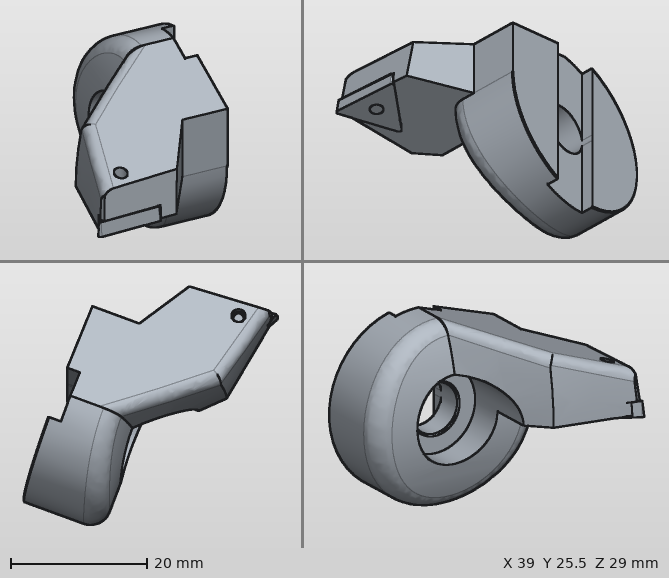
import cadquery as cq
import math

head_radius = 14.5
head_depth = 12.48
head_bulge_radius = 33.15
head_fillet = 3.0
bore_radius = 4.0
bore_chamfer = 0.27
counterbore_radius = 7.02
counterbore_floor = 6.5
slot_width = 7.95
slot_depth = 2.0
back_chamfer = 0.15

top_slope = math.tan(math.radians(18))
shoulder_depth = 7.37
shoulder_angle = 30.0
elbow_x = 10.2
elbow_bulge_radius = 47.58
nose_side_slope = math.tan(math.radians(9.7))
arm_fillet = 1.8
end_x = 22.9
end_swing = math.tan(math.radians(3.5))
end_lean = math.tan(math.radians(7))
corner_chamfer = 0.65
corner_facing = -2.0
corner_lean = 0.27
arm_end_stock = 4.68
arm_top_stock = 0.4
overrun = 31.2

insert_x = 21.1
insert_y = -20.48
insert_bottom = -0.3
insert_thickness = 2.38
insert_inradius = 3.15
insert_nose_radius = 0.4
insert_turn = -27.2
insert_clearance = 7.0

screw_radius = 1.0
screw_end_chamfer = 0.27
screw_top = 5.45

elbow_depth = head_depth + elbow_x
insert_top = insert_bottom + insert_thickness


def bulge_section(x, depth, radius, height):
    """Wire in a plane of constant X: flat back and bottom, bulged front, up to the given height."""
    def front_point(z):
        return (-depth + radius - math.sqrt(radius**2 - z**2), z)

    return (
        cq.Workplane("YZ", origin=(x, 0, 0))
        .lineTo(-depth, 0)
        .threePointArc(front_point(height / 2), front_point(height))
        .lineTo(0, height)
        .close()
        .val()
    )


def half_space(point, normal):
    """Large block whose flat face passes through the point and which lies on the normal's side."""
    face = cq.Workplane(cq.Plane(origin=point, normal=normal)).rect(2 * overrun, 2 * overrun)
    return face.extrude(overrun)


def make_head():
    """Bulged and filleted disc without its upper +X quadrant."""
    rim_sag = head_bulge_radius - math.sqrt(head_bulge_radius**2 - head_radius**2)
    bulge = (
        cq.Workplane("YZ", origin=(-head_radius, 0, 0))
        .moveTo(0, -head_radius)
        .lineTo(-head_depth + rim_sag, -head_radius)
        .threePointArc((-head_depth, 0), (-head_depth + rim_sag, head_radius))
        .lineTo(0, head_radius)
        .close()
        .extrude(2 * head_radius)
    )
    disc = cq.Workplane("XZ").circle(head_radius).extrude(head_depth).intersect(bulge)
    disc = disc.faces("<Y").edges().fillet(head_fillet)
    disc = disc.faces(">Y").edges().chamfer(back_chamfer)
    quadrant = cq.Workplane("XY").box(overrun, 2 * overrun, overrun, centered=(False, True, False))
    return disc.cut(quadrant)


def corner_point():
    """Point at Z = 0 where the corner chamfer leaves the arm's front."""
    front_at_origin = -elbow_depth + nose_side_slope * elbow_x
    corner_x = (end_x - end_swing * front_at_origin) / (1 - end_swing * nose_side_slope)
    x = corner_x - corner_chamfer
    return (x, front_at_origin - nose_side_slope * x, 0)


def make_arm():
    """Arm with a bulged front, a sloping top and a leaning end."""
    blank_end = end_x + arm_end_stock
    blank_height = head_radius + arm_top_stock
    blank_depth = elbow_depth + nose_side_slope * (blank_end - elbow_x)
    blank = cq.Workplane(
        cq.Solid.makeLoft(
            [
                bulge_section(0, head_depth, head_bulge_radius, blank_height),
                bulge_section(elbow_x, elbow_depth, elbow_bulge_radius, blank_height),
                bulge_section(blank_end, blank_depth, elbow_bulge_radius, blank_height),
            ],
            True,
        )
    )
    top_normal = cq.Vector(top_slope, 0, 1)
    arm = blank.cut(half_space((0, 0, head_radius), top_normal))
    behind_run = overrun - head_radius
    behind = (
        cq.Workplane("XY")
        .moveTo(head_radius, overrun)
        .lineTo(head_radius, -shoulder_depth)
        .lineTo(overrun, -shoulder_depth - behind_run * math.tan(math.radians(shoulder_angle)))
        .lineTo(overrun, overrun)
        .close()
        .extrude(overrun)
    )
    arm = arm.cut(behind)
    top_face = arm.faces(cq.selectors.DirectionMinMaxSelector(top_normal, True))
    arm = top_face.edges("%BSPLINE").fillet(arm_fillet)
    end_normal = (1, end_swing, end_lean)
    arm = arm.cut(half_space((end_x, 0, 0), end_normal))
    return arm.cut(half_space(corner_point(), (1, corner_facing, corner_lean)))


def cut_back(body):
    """Body with the slot across its back, running along Z."""
    slot = cq.Workplane("XY").box(slot_width, 2 * slot_depth, 3 * head_radius)
    return body.cut(slot)


def cut_bore(body):
    """Body with the through bore, chamfered at its front, and the counterbore."""
    floor_plane = cq.Workplane("XZ", origin=(0, -counterbore_floor, 0))
    counterbore = floor_plane.circle(counterbore_radius).extrude(overrun)
    bore = cq.Workplane("XZ").circle(bore_radius).extrude(counterbore_floor)
    countersink = (
        floor_plane.workplane(offset=-bore_chamfer)
        .circle(bore_radius)
        .workplane(offset=bore_chamfer)
        .circle(bore_radius + bore_chamfer)
        .loft()
    )
    return body.cut(counterbore).cut(bore).cut(countersink)


def make_insert_blank(taper):
    """Triangular plate with rounded corners, without its screw hole."""
    triangle = (
        cq.Sketch()
        .regularPolygon(2 * insert_inradius, 3, insert_turn)
        .vertices()
        .fillet(insert_nose_radius)
    )
    return (
        cq.Workplane("XY", origin=(insert_x, insert_y, insert_bottom))
        .placeSketch(triangle)
        .extrude(insert_thickness, taper=taper)
    )


def make_screw_blank(top):
    """Cylinder on the screw's axis, from the insert's bottom up to the given height."""
    axis_plane = cq.Workplane("XY", origin=(insert_x, insert_y, insert_bottom))
    return axis_plane.circle(screw_radius).extrude(top - insert_bottom)


def make_holder():
    """Head and arm in one piece, with the slot, bore, insert pocket and screw hole."""
    holder = cut_bore(cut_back(make_head().union(make_arm())))
    return holder.cut(make_insert_blank(0)).cut(make_screw_blank(head_radius))


def make_insert():
    """Insert with tapered flanks and a plain screw hole."""
    return make_insert_blank(insert_clearance).cut(make_screw_blank(insert_top))


def make_screw():
    """Plain screw, chamfered at its upper end."""
    return make_screw_blank(screw_top).faces(">Z").chamfer(screw_end_chamfer)


holder = make_holder()
insert = make_insert()
screw = make_screw()
result = cq.Compound.makeCompound([holder.val(), insert.val(), screw.val()])